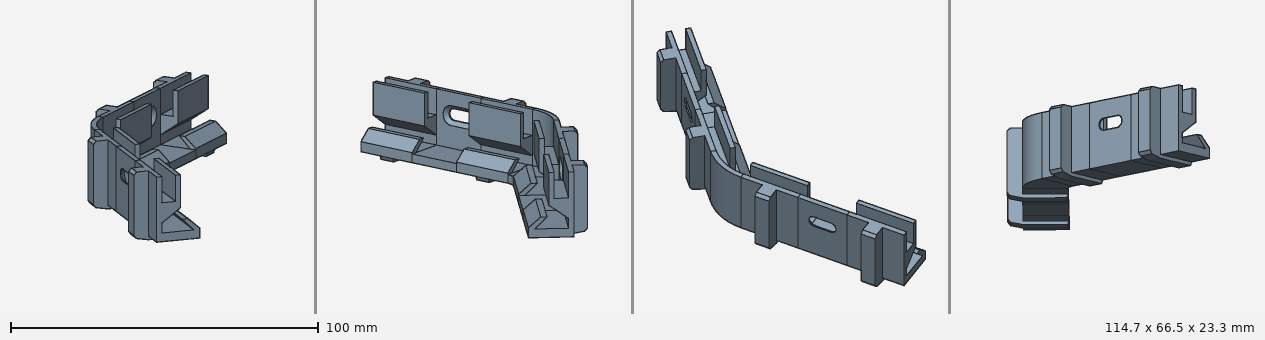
import cadquery as cq

BEND_ANGLE = 48.0
ARM_TILT = 0.25
BEND_INNER_RADIUS = 4.7
CLIP_LENGTH = 21.0
PLATE_LENGTH = 18.1

DEPTH = 14.9
HEIGHT = 22.0
WALL = 1.8
FLOOR = 3.0
BEND_OUTER_RADIUS = BEND_INNER_RADIUS + DEPTH

TONGUE_INNER = 6.5
TONGUE_OUTER = 8.3
SLOT_FLOOR = 13.2
TONGUE_FOOT = 10.9
UNDERCUT_END = 6.3

LIP_EDGE_HEIGHT = 3.4
LIP_HEIGHT = 7.0
LIP_TOP_OUTER = 10.9
LIP_THICKNESS = 2.1

RIB_WIDTH = 5.2
RIB_REACH = 5.0
RIB_TOP_CHAMFER = 1.0
LEG_DROP = 1.3
LEG_END_CHAMFER = 0.5
TOE_TOP = 0.7
TOE_KNEE_SETBACK = 0.9
TOE_KNEE_DROP = 0.5

SCREW_SLOT_LENGTH = 10.0
SCREW_SLOT_WIDTH = 4.0
SCREW_SLOT_HEIGHT = 14.0
SCREW_SLOT_BORE = 0.5


def wall_and_floor_outline():
    """Plain L section of the flat plates and of the corner."""
    return [(0, 0), (DEPTH, 0), (DEPTH, FLOOR), (WALL, FLOOR), (WALL, HEIGHT), (0, HEIGHT)]


def clip_outline():
    """L section with a leaning lip at the floor edge and a tongue hung from the wall."""
    lip_top_inner = LIP_TOP_OUTER - LIP_THICKNESS
    lip_foot_inner = DEPTH - LIP_THICKNESS
    return [
        (0, 0),
        (DEPTH, 0),
        (DEPTH, LIP_EDGE_HEIGHT),
        (LIP_TOP_OUTER, LIP_HEIGHT),
        (lip_top_inner, LIP_HEIGHT),
        (lip_foot_inner, FLOOR),
        (WALL, FLOOR),
        (WALL, UNDERCUT_END),
        (TONGUE_OUTER, TONGUE_FOOT),
        (TONGUE_OUTER, HEIGHT),
        (TONGUE_INNER, HEIGHT),
        (TONGUE_INNER, SLOT_FLOOR),
        (WALL, SLOT_FLOOR),
        (WALL, HEIGHT),
        (0, HEIGHT),
    ]


def rib_outline():
    """Side shape of a rib: upright in front of the wall, with a leg under the floor."""
    return [
        (0, HEIGHT),
        (-RIB_REACH + RIB_TOP_CHAMFER, HEIGHT),
        (-RIB_REACH, HEIGHT - RIB_TOP_CHAMFER),
        (-RIB_REACH, TOE_TOP),
        (-RIB_REACH + TOE_KNEE_SETBACK, -TOE_KNEE_DROP),
        (0, -LEG_DROP),
        (DEPTH - LEG_END_CHAMFER, -LEG_DROP),
        (DEPTH, 0),
        (0, 0),
    ]


def bar(outline, length):
    """Extrude a (depth, height) outline along X, centred on X = 0."""
    return cq.Workplane("YZ").polyline(outline).close().extrude(length / 2, both=True)


def make_clip():
    return bar(clip_outline(), CLIP_LENGTH).union(bar(rib_outline(), RIB_WIDTH))


def screw_slot_section(depth, growth):
    """Slot outline at a depth into the wall, widened by `growth` on every side."""
    plane = cq.Plane(origin=(0, depth, SCREW_SLOT_HEIGHT), xDir=(1, 0, 0), normal=(0, 1, 0))
    length = SCREW_SLOT_LENGTH + 2 * growth
    width = SCREW_SLOT_WIDTH + 2 * growth
    return cq.Workplane(plane).slot2D(length, width)


def make_plate():
    """Flat plate with a screw slot through its wall, countersunk from the inside."""
    flare = WALL - SCREW_SLOT_BORE
    bore = screw_slot_section(0, 0).extrude(SCREW_SLOT_BORE)
    countersink = screw_slot_section(WALL, flare).extrude(-flare, taper=45)
    return bar(wall_and_floor_outline(), PLATE_LENGTH).cut(bore).cut(countersink)


def make_corner():
    """Sweep the L section about the bend axis, from the straight arm to the bent arm."""
    section = [(depth - BEND_OUTER_RADIUS, height) for depth, height in wall_and_floor_outline()]
    profile = cq.Workplane("YZ").polyline(section).close()
    corner = profile.revolve(BEND_ANGLE, (0, 0), (0, -1))
    return turn(corner, -ARM_TILT)


def turn(body, angle):
    return body.rotate((0, 0, 0), (0, 0, 1), angle)


def place(body, along, angle):
    """Set a body on an arm: `along` from the bend axis, then turned with the arm."""
    return turn(body.translate((along, -BEND_OUTER_RADIUS, 0)), angle)


near_clip_along = CLIP_LENGTH / 2
plate_along = CLIP_LENGTH + PLATE_LENGTH / 2
far_clip_along = CLIP_LENGTH + PLATE_LENGTH + CLIP_LENGTH / 2

bodies = [make_corner().val()]
for direction, arm_angle in ((1, -ARM_TILT), (-1, -ARM_TILT - BEND_ANGLE)):
    bodies.append(place(make_plate(), direction * plate_along, arm_angle).val())
    for clip_along in (near_clip_along, far_clip_along):
        bodies.append(place(make_clip(), direction * clip_along, arm_angle).val())

result = cq.Compound.makeCompound(bodies)